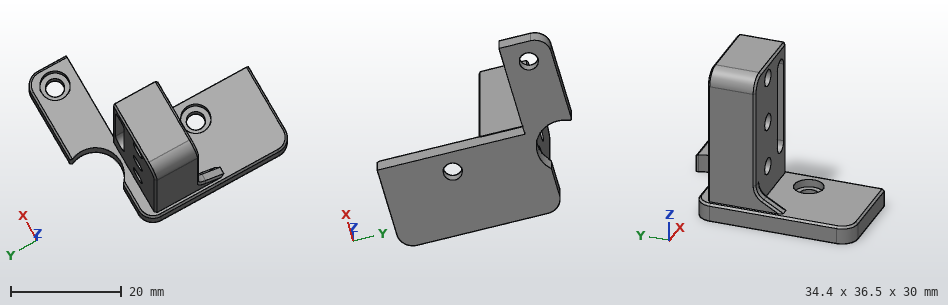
import cadquery as cq
import math

part_length = 36.52
part_width = 34.4
part_height = 29.95
plate_thickness = 3.47
pad_width = 16.5
pad_length = 30.4
arm_front = 27.6
corner_radius = 3.0
edge_chamfer = 0.4

bite_radius = 5.2
bite_x = 12.3
bite_y = 33.95
bite_tip_radius = 0.35

mount_diameter = 3.45
counterbore_diameter = 5.48
counterbore_depth = 1.5
mount_centers = [(12.65, 13.07), (30.45, 32.15)]

block_left = 0.88
block_front = 18.95
block_back = 28.12
block_trim = 0.15

cross_diameter = 3.18
cross_x = 7.3
cross_middle_z = 18.2
cross_pitch = 9.0
slot_x = 13.8
slot_length = 18.85

rib_width = 2.15
rib_toe = 13.7
rib_angle = 30.0
rib_fillet = 3.0
rib_embed = 1.1


def nearest(x, y, z):
    return cq.selectors.NearestToPointSelector((x, y, z))


def make_plate():
    plate = (
        cq.Workplane("XY")
        .moveTo(0, 0)
        .lineTo(pad_width, 0)
        .lineTo(pad_width, arm_front)
        .lineTo(part_width, arm_front)
        .lineTo(part_width, part_length)
        .lineTo(bite_x, part_length)
        .lineTo(bite_x, pad_length)
        .lineTo(0, pad_length)
        .close()
        .extrude(plate_thickness)
    )
    middle_z = plate_thickness / 2
    for x, y in [(0, 0), (0, pad_length), (part_width, part_length)]:
        plate = plate.edges(nearest(x, y, middle_z)).fillet(corner_radius)

    for x, y in [(0, pad_length / 2), (part_width / 2, part_length)]:
        plate = plate.edges(nearest(x, y, plate_thickness)).chamfer(edge_chamfer)

    bite = cq.Workplane("XY").center(bite_x, bite_y).circle(bite_radius).extrude(plate_thickness)
    plate = plate.cut(bite)
    bite_tip_x = bite_x + math.sqrt(bite_radius**2 - (part_length - bite_y) ** 2)
    return plate.edges(nearest(bite_tip_x, part_length, middle_z)).fillet(bite_tip_radius)


def make_block():
    block = (
        cq.Workplane("XY", origin=(block_left, block_front, plate_thickness))
        .box(
            pad_width - block_left,
            block_back - block_front,
            part_height - plate_thickness,
            centered=False,
        )
        .edges("<X and >Z")
        .fillet(corner_radius)
        .faces("<Y or >Y")
        .edges("not <Z")
        .chamfer(edge_chamfer)
    )
    trim = cq.Workplane("XY", origin=(pad_width - block_trim, 0, 0)).box(
        part_width, part_length, part_height, centered=False
    )
    return block.cut(trim)


def make_rib():
    """Rib with its curve into the block; it runs back inside the block to share its chamfer."""
    slope = math.tan(math.radians(rib_angle))
    bottom = plate_thickness - rib_embed
    slope_top = plate_thickness + (block_front - rib_toe) * slope
    rib_top = slope_top + 2 * rib_fillet
    rib = (
        cq.Workplane("YZ", origin=(block_left, 0, 0))
        .moveTo(block_back - corner_radius, bottom)
        .lineTo(rib_toe - rib_embed / slope, bottom)
        .lineTo(block_front, slope_top)
        .lineTo(block_front, rib_top)
        .lineTo(block_back - corner_radius, rib_top)
        .close()
        .extrude(rib_width)
    )
    rib = rib.edges(nearest(block_left + rib_width / 2, block_front, slope_top)).fillet(rib_fillet)
    for x in (block_left, block_left + rib_width):
        rib = rib.edges(nearest(x, block_front, rib_top - rib_fillet / 2)).chamfer(edge_chamfer)
    return rib


def make_mount_holes():
    floor_z = plate_thickness - counterbore_depth
    bores = (
        cq.Workplane("XY")
        .pushPoints(mount_centers)
        .circle(mount_diameter / 2)
        .extrude(plate_thickness)
    )
    counterbores = (
        cq.Workplane("XY", origin=(0, 0, floor_z))
        .pushPoints(mount_centers)
        .circle(counterbore_diameter / 2)
        .extrude(counterbore_depth)
    )
    return bores.union(counterbores)


def make_cross_openings():
    front = cq.Workplane("XZ")
    holes = (
        front.center(cross_x, cross_middle_z)
        .pushPoints([(0, step * cross_pitch) for step in (-1, 0, 1)])
        .circle(cross_diameter / 2)
        .extrude(-part_length)
    )
    slot = (
        front.center(slot_x, cross_middle_z)
        .slot2D(slot_length, cross_diameter, 90)
        .extrude(-part_length)
    )
    return holes.union(slot)


upright = make_block().union(make_rib())
result = make_plate().union(upright).cut(make_mount_holes()).cut(make_cross_openings())